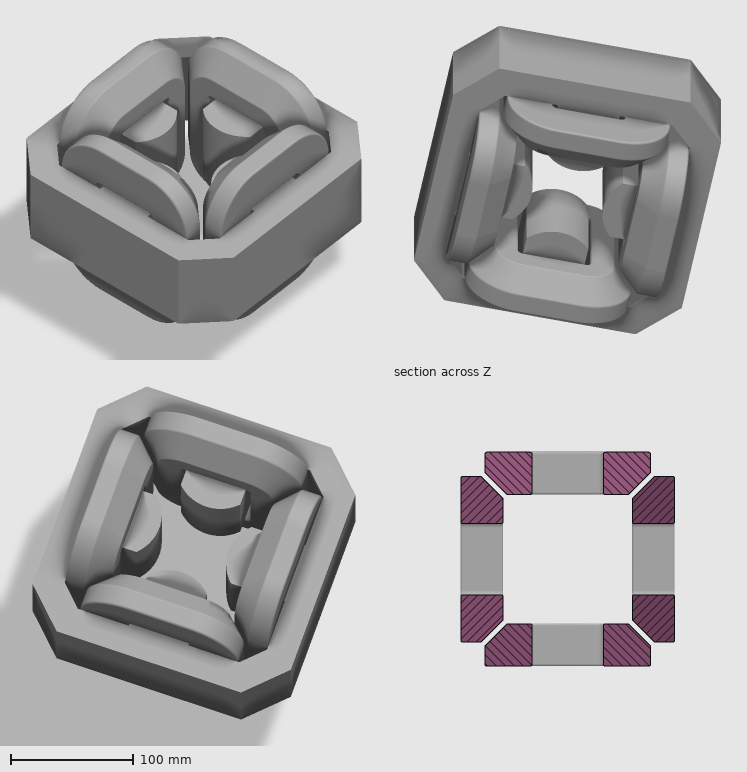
import cadquery as cq
import math

YOKE_SIZE = 224.0
YOKE_HEIGHT = 70.0
YOKE_WALL = 24.2
YOKE_CORNER_CUT = 32.0
BORE_SIZE = YOKE_SIZE - 2 * YOKE_WALL
BORE_CORNER_CUT = YOKE_CORNER_CUT - YOKE_WALL * (2 - math.sqrt(2))

POLE_COUNT = 4
POLE_WIDTH = 51.5
POLE_TIP_DISTANCE = 30.0
POLE_TIP_RADIUS = 35.8
POLE_ROOT_OVERLAP = YOKE_WALL / 2

COIL_WIDTH = 136.5
COIL_HEIGHT = 153.5
COIL_OUTER_RADIUS = (COIL_WIDTH - POLE_WIDTH) / 2
COIL_DEPTH = 35.2
COIL_BEVEL = 18.4
COIL_EDGE_RADIUS = 1.9
COIL_BACK = BORE_SIZE / 2

WINDOW_WIDTH = 60.3
WINDOW_HEIGHT = 78.0
WINDOW_RADIUS = (WINDOW_WIDTH - POLE_WIDTH) / 2


def octagonal_prism(size, corner_cut):
    return (
        cq.Workplane("XY")
        .box(size, size, YOKE_HEIGHT)
        .edges("|Z")
        .chamfer(corner_cut)
    )


def rounded_block(width, height, depth, corner_radius):
    """Block with rounded corners, reaching from the coil's back face toward the yoke axis."""
    return (
        cq.Workplane("XZ", origin=(0, -COIL_BACK, 0))
        .rect(width, height)
        .extrude(-depth)
        .edges("|Y")
        .fillet(corner_radius)
    )


def on_every_side(shape):
    """Copies of a -Y side shape, turned about the yoke axis to each side of the yoke."""
    step = 360 / POLE_COUNT
    return [shape.rotate((0, 0, 0), (0, 0, 1), step * i) for i in range(POLE_COUNT)]


def make_pole():
    half_width = POLE_WIDTH / 2
    root = -(COIL_BACK + POLE_ROOT_OVERLAP)
    tip_rise = POLE_TIP_RADIUS - math.sqrt(POLE_TIP_RADIUS**2 - half_width**2)
    shoulder = -(POLE_TIP_DISTANCE + tip_rise)
    return (
        cq.Workplane("XY", origin=(0, 0, -YOKE_HEIGHT / 2))
        .moveTo(-half_width, root)
        .lineTo(half_width, root)
        .lineTo(half_width, shoulder)
        .threePointArc((0, -POLE_TIP_DISTANCE), (-half_width, shoulder))
        .close()
        .extrude(YOKE_HEIGHT)
    )


def make_yoke():
    yoke = octagonal_prism(YOKE_SIZE, YOKE_CORNER_CUT).cut(octagonal_prism(BORE_SIZE, BORE_CORNER_CUT))
    for pole in on_every_side(make_pole()):
        yoke = yoke.union(pole)
    return yoke


def make_coil():
    body = rounded_block(COIL_WIDTH, COIL_HEIGHT, COIL_DEPTH, COIL_OUTER_RADIUS)
    body = body.faces(">Y").chamfer(COIL_BEVEL)
    window = rounded_block(WINDOW_WIDTH, WINDOW_HEIGHT, COIL_DEPTH, WINDOW_RADIUS)
    coil = body.cut(window)
    flat_face_rims = coil.faces("<Y or >Y").edges()
    bevel_start = -COIL_BACK + COIL_DEPTH - COIL_BEVEL
    bevel_rim = coil.edges(
        cq.selectors.BoxSelector(
            (-COIL_WIDTH, bevel_start - COIL_EDGE_RADIUS, -COIL_HEIGHT),
            (COIL_WIDTH, bevel_start + COIL_EDGE_RADIUS, COIL_HEIGHT),
            boundingbox=True,
        )
    )
    return flat_face_rims.add(bevel_rim).fillet(COIL_EDGE_RADIUS)


yoke = make_yoke()
coils = on_every_side(make_coil())

result = cq.Compound.makeCompound([yoke.val(), *[coil.val() for coil in coils]])